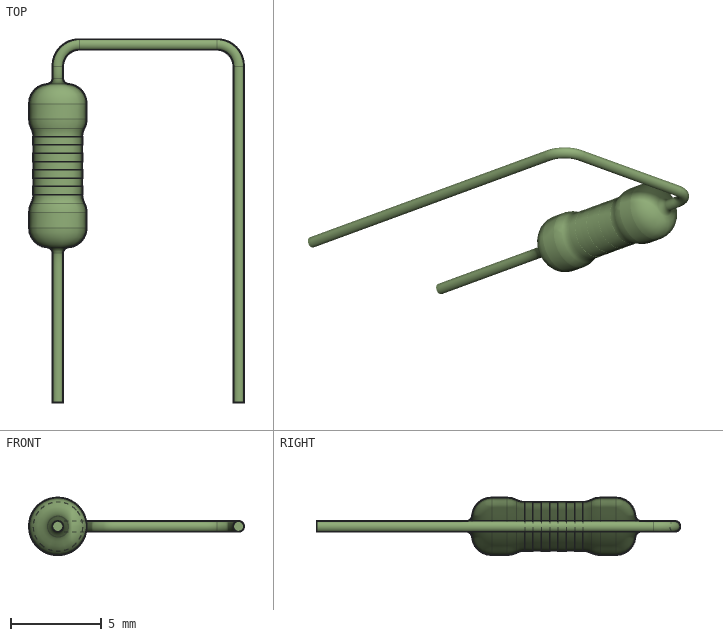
import math

import cadquery as cq


lead_dia = 0.6
lead_pitch = 10.0
bend_radius = 1.2
lead_tip_y = -13.1
fold_y = 6.7

cap_dia = 3.2
waist_dia = 2.72
band_dia = 2.74
cap_flat_length = 0.84
cap_round = 1.1
waist_blend = 1.0
lead_blend = 0.3

band_count = 4
band_width = 0.46
waist_half = (2 * band_count - 1) * band_width / 2

lead_r = lead_dia / 2
cap_r = cap_dia / 2
waist_r = waist_dia / 2
round_centre_r = cap_r - cap_round


def arc_point(centre, radius, angle):
    """Point on an arc; the angle is measured from the radial direction toward +Y."""
    return (centre[0] + radius * math.cos(angle), centre[1] + radius * math.sin(angle))


def make_cap():
    """End cap on the +Y side, from the waist to the start of the lead."""
    waist_centre_r = waist_r + waist_blend
    waist_angle = math.acos((waist_centre_r - round_centre_r) / (cap_round + waist_blend))
    inner_y = waist_half + (cap_round + waist_blend) * math.sin(waist_angle)
    outer_y = inner_y + cap_flat_length

    lead_centre_r = lead_r + lead_blend
    lead_angle = math.acos((lead_centre_r - round_centre_r) / (cap_round + lead_blend))
    lead_y = outer_y + (cap_round + lead_blend) * math.sin(lead_angle)

    waist_centre = (waist_centre_r, waist_half)
    inner_centre = (round_centre_r, inner_y)
    outer_centre = (round_centre_r, outer_y)
    lead_centre = (lead_centre_r, lead_y)

    profile = (
        cq.Workplane("XY")
        .moveTo(0, waist_half)
        .lineTo(waist_r, waist_half)
        .threePointArc(
            arc_point(waist_centre, waist_blend, math.pi - waist_angle / 2),
            arc_point(waist_centre, waist_blend, math.pi - waist_angle),
        )
        .threePointArc(
            arc_point(inner_centre, cap_round, -waist_angle / 2),
            (cap_r, inner_y),
        )
        .lineTo(cap_r, outer_y)
        .threePointArc(
            arc_point(outer_centre, cap_round, lead_angle / 2),
            arc_point(outer_centre, cap_round, lead_angle),
        )
        .threePointArc(
            arc_point(lead_centre, lead_blend, math.pi + lead_angle / 2),
            (lead_r, lead_y),
        )
        .lineTo(0, lead_y)
        .close()
    )
    return profile.revolve(360, (0, 0, 0), (0, 1, 0)), lead_y


def make_disc(diameter, start_y, length):
    """Cylinder on the body axis, running toward +Y."""
    disc = cq.Solid.makeCylinder(diameter / 2, length, cq.Vector(0, start_y, 0), cq.Vector(0, 1, 0))
    return cq.Workplane(obj=disc)


def make_waist():
    """Thin middle of the body with its raised colour bands."""
    waist = make_disc(waist_dia, -waist_half, 2 * waist_half)
    for index in range(band_count):
        start_y = -waist_half + 2 * index * band_width
        waist = waist.union(make_disc(band_dia, start_y, band_width))
    return waist


def make_folded_lead(start_y):
    """Lead that leaves the +Y cap, crosses over and returns to the tip level."""
    bend_y = fold_y - bend_radius
    diagonal = bend_radius * math.sqrt(0.5)
    first_bend_x = bend_radius
    second_bend_x = lead_pitch - bend_radius
    path = (
        cq.Workplane("XY")
        .moveTo(0, start_y)
        .lineTo(0, bend_y)
        .threePointArc((first_bend_x - diagonal, bend_y + diagonal), (first_bend_x, fold_y))
        .lineTo(second_bend_x, fold_y)
        .threePointArc((second_bend_x + diagonal, bend_y + diagonal), (lead_pitch, bend_y))
        .lineTo(lead_pitch, lead_tip_y)
    )
    section = cq.Workplane("XZ", origin=(0, start_y, 0)).circle(lead_r)
    return section.sweep(path)


cap, lead_start_y = make_cap()
straight_lead = make_disc(lead_dia, lead_tip_y, -lead_start_y - lead_tip_y)

result = (
    make_waist()
    .union(cap)
    .union(cap.mirror("XZ"))
    .union(straight_lead)
    .union(make_folded_lead(lead_start_y))
)